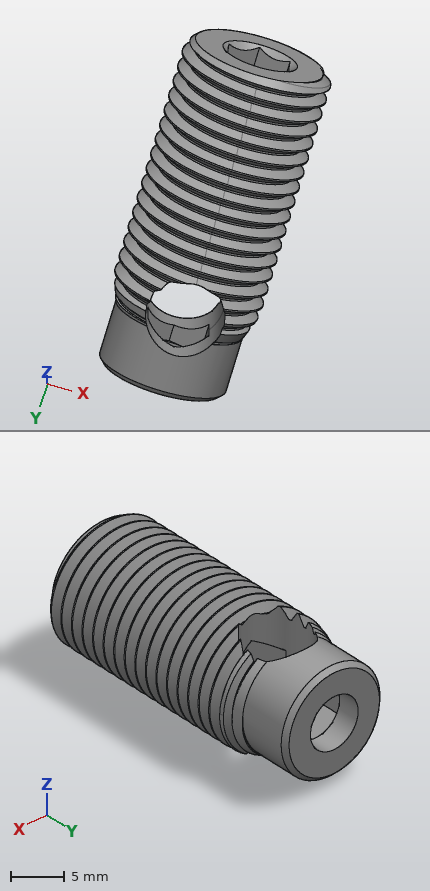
import cadquery as cq
import math

length = 33.0
head_radius = 6.25
head_length = 6.0
head_chamfer = 0.53

crest_radius = 7.2
root_radius = 6.2
pitch = 1.498
crest_width = 0.15
flank_angle = 30.0
first_crest = 0.5
run_out_angle = 20.0
end_chamfer = 0.82

cross_hole_diameter = 7.5
cross_hole_from_head = 8.0
bore_diameter = 6.0
hex_across_flats = 6.0
hex_depth = 30.35
hex_mouth_radius = 3.65

front_y = -length / 2
back_y = length / 2
shoulder_y = back_y - head_length


def revolve_about_y(points):
    """Turn a closed (radius, y) outline about the Y axis."""
    return cq.Workplane("XY").polyline(points).close().revolve(360, (0, 0), (0, 1))


def make_head():
    return revolve_about_y([
        (0, shoulder_y),
        (head_radius, shoulder_y),
        (head_radius, back_y - head_chamfer),
        (head_radius - head_chamfer, back_y),
        (0, back_y),
    ])


def make_thread_blank():
    run_out_length = (crest_radius - head_radius) / math.tan(math.radians(run_out_angle))
    return revolve_about_y([
        (0, front_y),
        (crest_radius - end_chamfer, front_y),
        (crest_radius, front_y + end_chamfer),
        (crest_radius, shoulder_y - run_out_length),
        (head_radius, shoulder_y),
        (0, shoulder_y),
    ])


def make_groove_turn():
    """One turn of the trapezoidal thread groove, starting at -Z and centred on y = 0 there."""
    overshoot = 0.05
    flank_slope = math.tan(math.radians(flank_angle))
    outer_radius = crest_radius + overshoot
    outer_half = (pitch - crest_width) / 2 + overshoot * flank_slope
    root_half = outer_half - (outer_radius - root_radius) * flank_slope

    path = cq.Wire.makeHelix(pitch, pitch, root_radius, lefthand=True)
    turn = (
        cq.Workplane("XZ")
        .polyline([
            (root_radius, -root_half),
            (outer_radius, -outer_half),
            (outer_radius, outer_half),
            (root_radius, root_half),
        ])
        .close()
        .sweep(cq.Workplane(obj=path), isFrenet=True)
    )
    return turn.rotate((0, 0, 0), (0, 0, 1), 90).rotate((0, 0, 0), (1, 0, 0), -90).val()


def make_threaded_shank():
    """Cut the groove turn by turn, running past both ends of the shank."""
    turn = make_groove_turn()
    first_groove = first_crest - 1.5 * pitch
    turn_count = math.ceil((length - head_length - first_groove) / pitch) + 1
    turns = [
        turn.translate(cq.Vector(0, front_y + first_groove + index * pitch, 0))
        for index in range(turn_count)
    ]
    return make_thread_blank().val().cut(*turns[0::2]).cut(*turns[1::2])


def make_socket():
    """Hexagonal socket with corners at +Z and -Z and a conical mouth."""
    corner_radius = hex_across_flats / math.sqrt(3)
    hexagon = (
        cq.Workplane("XZ", origin=(0, front_y, 0))
        .polygon(6, 2 * corner_radius)
        .extrude(-hex_depth)
        .rotate((0, 0, 0), (0, 1, 0), 30)
    )
    mouth = revolve_about_y([
        (0, front_y),
        (hex_mouth_radius, front_y),
        (0, front_y + hex_mouth_radius),
    ])
    return hexagon.union(mouth)


bore = cq.Workplane("XZ").circle(bore_diameter / 2).extrude(length / 2, both=True)
cross_hole = (
    cq.Workplane("XY")
    .center(0, back_y - cross_hole_from_head)
    .circle(cross_hole_diameter / 2)
    .extrude(crest_radius, both=True)
)

result = make_head().union(cq.Workplane(obj=make_threaded_shank()))
result = result.cut(bore).cut(make_socket()).cut(cross_hole)